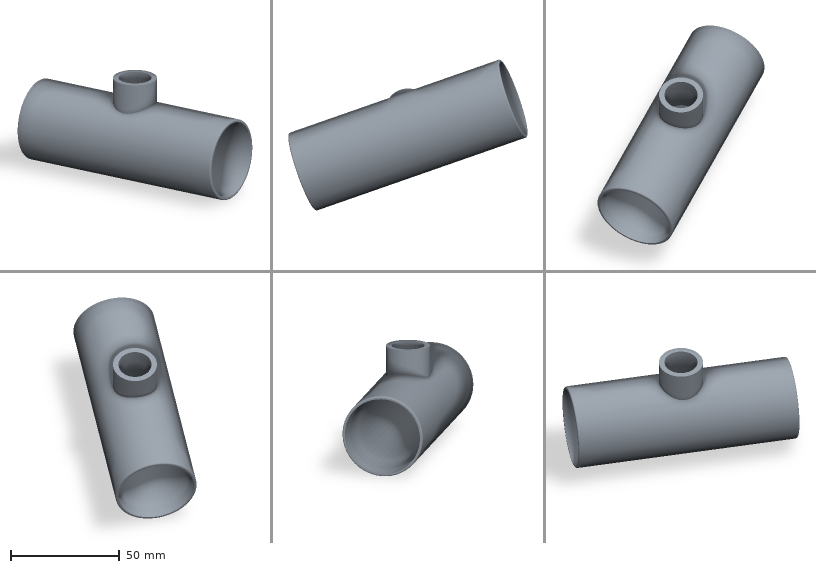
import cadquery as cq

tube_length = 104.14
tube_outer_diameter = 38.1
tube_inner_diameter = 35.56
wall_thickness = (tube_outer_diameter - tube_inner_diameter) / 2
end_radius = wall_thickness / 2

branch_outer_diameter = 20.32
branch_inner_diameter = 15.24
branch_top = 30.48
branch_length = 17.78
branch_bottom = branch_top - branch_length


def x_cylinder(diameter):
    """Cylinder along X with the length of the run tube."""
    return cq.Workplane("YZ", origin=(-tube_length / 2, 0, 0)).circle(diameter / 2).extrude(tube_length)


def branch_cylinder(diameter):
    """Upright cylinder spanning the height of the branch."""
    return cq.Workplane("XY").workplane(offset=branch_bottom).circle(diameter / 2).extrude(branch_length)


tube_body = x_cylinder(tube_outer_diameter).faces("<X or >X").fillet(end_radius)
tube = tube_body.cut(x_cylinder(tube_inner_diameter))

branch = branch_cylinder(branch_outer_diameter)
branch_bore = branch_cylinder(branch_inner_diameter)

result = tube.union(branch).cut(branch_bore)